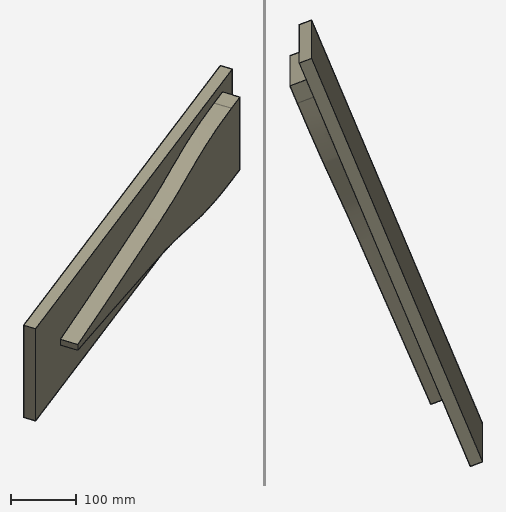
import cadquery as cq

plate_length = 700.0
plate_height = 180.0
plate_thickness = 20.0
total_thickness = 50.0

boss_thickness = total_thickness - plate_thickness
heel_end_y = 315.0
shoulder_y = 285.0
tip_y = -262.0
heel_half_height = 71.0
tip_half_height = 5.5

flank_points = [(222.5, 68.0), (176.0, 61.5), (96.0, 44.0), (-35.0, 27.0)]

shoulder_direction = (-1.0, 0.0)
tip_direction = (-1.0, -0.08)


def mirrored(points):
    """Reflect (Y, Z) points across the boss centre line."""
    return [(y, -z) for y, z in points]


def make_plate():
    return cq.Workplane("YZ").rect(plate_length, plate_height).extrude(plate_thickness)


def make_boss():
    upper_flank = flank_points + [(tip_y, tip_half_height)]
    lower_flank = mirrored(flank_points[::-1] + [(shoulder_y, heel_half_height)])
    lower_tip_direction = (-tip_direction[0], tip_direction[1])
    lower_shoulder_direction = (-shoulder_direction[0], shoulder_direction[1])
    return (
        cq.Workplane("YZ", origin=(plate_thickness, 0, 0))
        .moveTo(heel_end_y, heel_half_height)
        .lineTo(shoulder_y, heel_half_height)
        .spline(upper_flank, tangents=[shoulder_direction, tip_direction], includeCurrent=True)
        .lineTo(tip_y, -tip_half_height)
        .spline(
            lower_flank,
            tangents=[lower_tip_direction, lower_shoulder_direction],
            includeCurrent=True,
        )
        .lineTo(heel_end_y, -heel_half_height)
        .close()
        .extrude(boss_thickness)
    )


result = make_plate().union(make_boss())